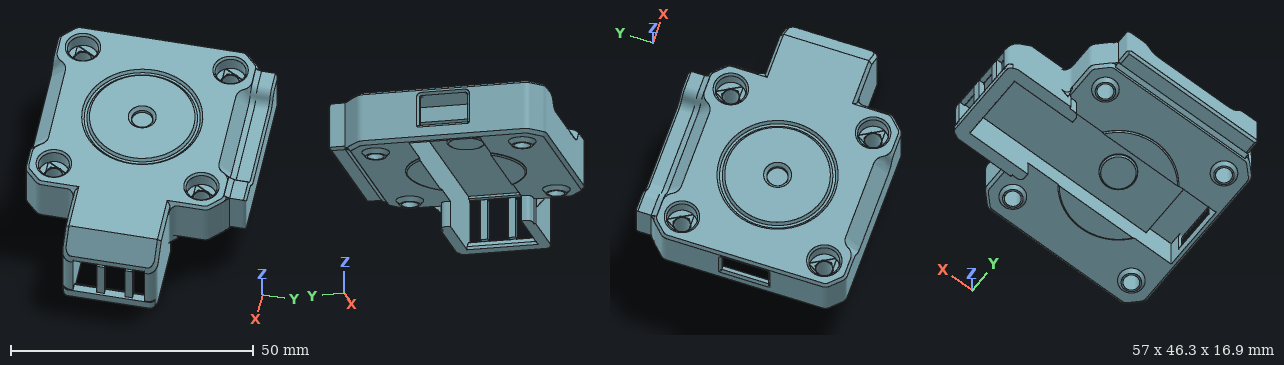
import cadquery as cq
PLATE_SIDE = 42.1
PLATE_HEIGHT = 11.4
HALF_SIDE = PLATE_SIDE / 2
CORNER_CUT = 3.25
CORNER_BLEND_RADIUS = 2.0
TOP_CHAMFER = 0.55
BOTTOM_CHAMFER_HEIGHT = 0.8
BOTTOM_CHAMFER_INSET = 0.6
WALL = 1.5
WINDOW_WALL = 1.35

SCALLOP_FLOOR_HALF = 8.9
SCALLOP_HALF = 13.3
SCALLOP_RIM_Z = PLATE_HEIGHT - TOP_CHAMFER
SCALLOP_DEPTH = 2.55
SCALLOP_SWEEP = 6.85

FLANGE_WIDTH = 34.0
FLANGE_LENGTH = 4.15
FLANGE_CHAMFER = 0.55
FLANGE_CORNER_RADIUS = 0.75
FLANGE_ROOT_LENGTH = 0.7
FLANGE_ROOT_RISE = 0.5

SCREW_PITCH = 31.0
SCREW_DIAMETER = 3.5
HEAD_DIAMETER = 6.4
HEAD_CHAMFER = 0.45
HEAD_DEPTH = 3.4
BRIDGE_STEP = 0.2
BOSS_TIP_DIAMETER = 4.2
BOSS_BASE_DIAMETER = 5.7
BOSS_HEIGHT = 0.9

REGISTER_DIAMETER = 25.0
REGISTER_HEIGHT = 0.4
REGISTER_CHAMFER = 0.3
RING_DIAMETER = 25.0
RING_WIDTH = 1.6
RING_DEPTH = 0.5
MAGNET_DIAMETER = 4.4
MAGNET_DEPTH = 1.3
MAGNET_CHAMFER = 0.7
HUB_DIAMETER = 8.0
HUB_HEIGHT = 0.75
HUB_CHAMFER = 0.35

HOOD_START_X = 20.25
HOOD_END_X = 35.8
HOOD_WIDTH = 20.05
HOOD_BOTTOM_Z = -5.5
HOOD_SLOPE_X = 30.9
HOOD_CORNER_RADIUS = 2.0
HOOD_CHAMFER = 0.75
SLEEVE_START_X = 17.85
SLEEVE_WIDTH = 19.3
SLEEVE_RADIUS = 1.15
ROOT_FILLET = 1.6
ROOT_TOP_DROP = 1.2

CHANNEL_WIDTH = 15.0
CHANNEL_CEILING_Z = 6.6
END_OPENING_TOP_Z = 6.1
POCKET_END_X = -13.1
WINDOW_WIDTH = 10.2
WINDOW_BOTTOM_Z = 3.35
WINDOW_TOP_Z = 9.85
WINDOW_CHAMFER = 0.5
WINDOW_RADIUS = 0.55

LIP_OVERHANG = 0.15
LIP_HEIGHT = 2.0
LIP_SLOPE = 1.3

SUPPORT_WIDTH = 1.6
SUPPORT_GAP = 0.45
SUPPORT_CENTRES_Y = (4.2, -1.7)

INNER_X = -HALF_SIDE + WINDOW_WALL
END_WALL_X = HOOD_END_X - WALL
LIP_TOP_Z = HOOD_BOTTOM_Z + LIP_HEIGHT


def block(x0, x1, y0, y1, z0, z1):
    """Axis-aligned box between two opposite corners."""
    return cq.Workplane("XY", origin=(x0, y0, z0)).box(x1 - x0, y1 - y0, z1 - z0, centered=False)


def centred_block(x0, x1, width, z0, z1):
    """Box that is symmetric about the XZ plane."""
    return block(x0, x1, -width / 2, width / 2, z0, z1)


def disc(diameter, z0, z1):
    """Cylinder on the part axis between two heights."""
    return cq.Workplane("XY", origin=(0, 0, z0)).circle(diameter / 2).extrude(z1 - z0)


def side_prism(points, width):
    """Prism with an XZ outline, symmetric about the XZ plane."""
    return cq.Workplane("XZ").polyline(points).close().extrude(width / 2, both=True)


def at_screws(solid):
    """Copies of a solid at the four screw positions."""
    half = SCREW_PITCH / 2
    copies = cq.Workplane()
    for x in (-half, half):
        for y in (-half, half):
            copies = copies.add(solid.translate((x, y, 0)))
    return copies.combine()


def plate():
    """Square plate with cut and blended corners and chamfered rims."""
    body = centred_block(-HALF_SIDE, HALF_SIDE, PLATE_SIDE, 0, PLATE_HEIGHT)
    body = body.edges("|Z").chamfer(CORNER_CUT)
    body = body.edges("|Z").fillet(CORNER_BLEND_RADIUS)
    body = body.faces(">Z").chamfer(TOP_CHAMFER)
    return body.faces("<Z").chamfer(BOTTOM_CHAMFER_HEIGHT, BOTTOM_CHAMFER_INSET)


def swept_rim(y, side_x, closing_z, direction):
    """Area between the scalloped rim line and a level line, at depth y, swept along a direction."""
    floor_z = SCALLOP_RIM_Z - SCALLOP_DEPTH
    half_drop = SCALLOP_DEPTH / 2
    half_run = (SCALLOP_HALF - SCALLOP_FLOOR_HALF) / 2
    radius = (half_run**2 + half_drop**2) / (2 * half_drop)
    bend_x = SCALLOP_FLOOR_HALF + half_run
    bend_z = floor_z + half_drop
    outline = (
        cq.Workplane("XZ", origin=(0, y, 0))
        .moveTo(-side_x, closing_z)
        .lineTo(-side_x, SCALLOP_RIM_Z)
        .lineTo(-SCALLOP_HALF, SCALLOP_RIM_Z)
        .radiusArc((-bend_x, bend_z), radius)
        .radiusArc((-SCALLOP_FLOOR_HALF, floor_z), -radius)
        .lineTo(SCALLOP_FLOOR_HALF, floor_z)
        .radiusArc((bend_x, bend_z), -radius)
        .radiusArc((SCALLOP_HALF, SCALLOP_RIM_Z), radius)
        .lineTo(side_x, SCALLOP_RIM_Z)
        .lineTo(side_x, closing_z)
        .close()
    )
    face = cq.Face.makeFromWires(outline.wires().val())
    return cq.Workplane(cq.Solid.extrudeLinear(face, cq.Vector(*direction)))


def scallop():
    """45 degree cut on the -Y side that continues the top chamfer downward."""
    above_z = PLATE_HEIGHT + SCALLOP_DEPTH
    return swept_rim(-HALF_SIDE, FLANGE_WIDTH / 2, above_z, (0, SCALLOP_SWEEP, SCALLOP_SWEEP))


def flange():
    """Flange with a scalloped top whose root is beveled into the plate on all sides."""
    half = FLANGE_WIDTH / 2
    bottom_z = BOTTOM_CHAMFER_HEIGHT
    end_y = HALF_SIDE + FLANGE_LENGTH
    root_y = HALF_SIDE + FLANGE_ROOT_LENGTH
    root_run = FLANGE_ROOT_LENGTH + FLANGE_ROOT_RISE
    inner_y = root_y - root_run
    body = swept_rim(end_y, half, bottom_z, (0, -FLANGE_LENGTH - WALL, 0))
    body = body.faces(">Y").edges("not |Z").chamfer(FLANGE_CHAMFER)
    body = body.faces("<Z").edges("|Y").chamfer(FLANGE_CHAMFER)
    body = body.faces(">Y").edges("|Z").fillet(FLANGE_CORNER_RADIUS)
    for rise in (FLANGE_ROOT_RISE, -FLANGE_ROOT_RISE):
        body = body.union(swept_rim(root_y, half, bottom_z, (0, -root_run, rise)))
    side_points = [
        (half, root_y),
        (half + root_run, inner_y),
        (SCALLOP_HALF, inner_y),
        (SCALLOP_HALF, root_y),
    ]
    side_bevel = (
        cq.Workplane("XY", origin=(0, 0, bottom_z))
        .polyline(side_points)
        .close()
        .extrude(SCALLOP_RIM_Z - bottom_z)
    )
    return body.union(side_bevel).union(side_bevel.mirror("YZ"))


def hood():
    """Hood with a sloped, chamfered top, its rounded inner legs and the lip past its end."""
    drop = HOOD_END_X - HOOD_SLOPE_X
    outline = [
        (HOOD_START_X, HOOD_BOTTOM_Z),
        (HOOD_START_X, PLATE_HEIGHT),
        (HOOD_SLOPE_X, PLATE_HEIGHT),
        (HOOD_END_X, PLATE_HEIGHT - drop),
        (HOOD_END_X, HOOD_BOTTOM_Z),
    ]
    body = side_prism(outline, HOOD_WIDTH)
    body = body.edges("|Z and >X").fillet(HOOD_CORNER_RADIUS)
    top_sides = body.faces(">Z").edges("|X")
    slope = body.faces(cq.selectors.DirectionMinMaxSelector(cq.Vector(1, 0, 1)))
    body = top_sides.add(slope.edges("not (|Y and <X)")).chamfer(HOOD_CHAMFER)
    sleeve_end_x = HOOD_END_X + LIP_OVERHANG
    legs = centred_block(SLEEVE_START_X, HOOD_SLOPE_X, SLEEVE_WIDTH, HOOD_BOTTOM_Z, BOTTOM_CHAMFER_HEIGHT)
    legs = legs.edges("|Z and <X").fillet(SLEEVE_RADIUS)
    lip = centred_block(HOOD_SLOPE_X, sleeve_end_x, SLEEVE_WIDTH, HOOD_BOTTOM_Z, LIP_TOP_Z)
    lip = lip.edges("|Z and >X").fillet(SLEEVE_RADIUS)
    return body.union(legs).union(lip)


def hood_root():
    """Concave blend between the plate side and the -Y side of the hood, beveled at both ends."""
    tip_x = HALF_SIDE + ROOT_FILLET
    hood_y = -HOOD_WIDTH / 2
    blend = (
        cq.Workplane("XY", origin=(0, 0, -ROOT_FILLET))
        .moveTo(HALF_SIDE, hood_y + WALL)
        .lineTo(HALF_SIDE, hood_y - ROOT_FILLET)
        .radiusArc((tip_x, hood_y), ROOT_FILLET)
        .lineTo(tip_x, hood_y + WALL)
        .close()
        .extrude(PLATE_HEIGHT + ROOT_FILLET)
    )
    top_bevel = side_prism(
        [
            (HALF_SIDE, SCALLOP_RIM_Z),
            (tip_x, SCALLOP_RIM_Z - ROOT_TOP_DROP),
            (tip_x, PLATE_HEIGHT),
            (HALF_SIDE, PLATE_HEIGHT),
        ],
        PLATE_SIDE,
    )
    bevel_plane = cq.Plane(origin=(tip_x, hood_y, 0), normal=(1, -1, -1))
    bottom_bevel = cq.Workplane(bevel_plane).rect(PLATE_SIDE, PLATE_SIDE).extrude(PLATE_SIDE)
    return blend.cut(top_bevel).cut(bottom_bevel)


def register():
    """Shallow round register, later split by the channel."""
    return disc(REGISTER_DIAMETER, -REGISTER_HEIGHT, WALL).faces("<Z").chamfer(REGISTER_CHAMFER)


def screw_boss():
    """Tapered boss under a screw hole."""
    return (
        cq.Workplane("XY")
        .circle(BOSS_BASE_DIAMETER / 2)
        .workplane(offset=-BOSS_HEIGHT)
        .circle(BOSS_TIP_DIAMETER / 2)
        .loft()
    )


def countersunk(diameter, depth, chamfer):
    """Round blind hole from the top face with a 45 degree rim."""
    radius = diameter / 2
    outline = [
        (0, -depth),
        (radius, -depth),
        (radius, -chamfer),
        (radius + chamfer, 0),
        (0, 0),
    ]
    hole = cq.Workplane("XZ").polyline(outline).close().revolve(360, (0, 0, 0), (0, 1, 0))
    return hole.translate((0, 0, PLATE_HEIGHT))


def screw_hole():
    """Screw hole whose head floor steps from a triangle to a hexagon to the round hole."""
    floor_z = PLATE_HEIGHT - HEAD_DEPTH
    triangle = (
        cq.Workplane("XY", origin=(0, 0, floor_z - BRIDGE_STEP))
        .polygon(3, 2 * SCREW_DIAMETER)
        .extrude(BRIDGE_STEP)
        .rotate((0, 0, 0), (0, 0, 1), 90)
        .intersect(disc(HEAD_DIAMETER, 0, PLATE_HEIGHT))
    )
    hexagon = (
        cq.Workplane("XY", origin=(0, 0, floor_z - 2 * BRIDGE_STEP))
        .polygon(6, SCREW_DIAMETER, circumscribed=True)
        .extrude(BRIDGE_STEP)
    )
    through = disc(SCREW_DIAMETER, -BOSS_HEIGHT, floor_z)
    head = countersunk(HEAD_DIAMETER, HEAD_DEPTH, HEAD_CHAMFER)
    return head.union(triangle).union(hexagon).union(through)


def ring_groove():
    """Trapezoidal ring groove in the top face."""
    outer = RING_DIAMETER / 2
    outline = [
        (outer, PLATE_HEIGHT),
        (outer - RING_DEPTH, PLATE_HEIGHT - RING_DEPTH),
        (outer - RING_WIDTH + RING_DEPTH, PLATE_HEIGHT - RING_DEPTH),
        (outer - RING_WIDTH, PLATE_HEIGHT),
    ]
    return cq.Workplane("XZ").polyline(outline).close().revolve(360, (0, 0, 0), (0, 1, 0))


def channel():
    """Cavity open at the bottom, ending above the sloped inner face of the lip."""
    below_z = HOOD_BOTTOM_Z - WALL
    outline = [
        (INNER_X, below_z),
        (INNER_X, CHANNEL_CEILING_Z),
        (END_WALL_X, CHANNEL_CEILING_Z),
        (END_WALL_X, LIP_TOP_Z),
        (END_WALL_X - LIP_SLOPE, LIP_TOP_Z - LIP_SLOPE),
        (END_WALL_X - LIP_SLOPE, below_z),
    ]
    pocket = centred_block(INNER_X, POCKET_END_X, CHANNEL_WIDTH, 0, WINDOW_TOP_Z)
    opening = centred_block(
        END_WALL_X, HOOD_END_X + WALL, CHANNEL_WIDTH, LIP_TOP_Z, END_OPENING_TOP_Z
    )
    return side_prism(outline, CHANNEL_WIDTH).union(pocket).union(opening)


def window():
    """Window through the -X wall, round at the top corners, with a 45 degree outer rim."""
    opening = centred_block(-HALF_SIDE, INNER_X, WINDOW_WIDTH, WINDOW_BOTTOM_Z, WINDOW_TOP_Z)
    opening = opening.edges("|X and >Z").fillet(WINDOW_RADIUS)
    rim_x = -HALF_SIDE + WINDOW_CHAMFER
    rim = (
        cq.Workplane("YZ", origin=(rim_x, 0, 0))
        .add(opening.faces("<X").wires().translate((rim_x + HALF_SIDE, 0, 0)))
        .toPending()
        .extrude(-WINDOW_CHAMFER, taper=-45)
    )
    return opening.union(rim)


def hub():
    """Round boss under the cavity ceiling, below the magnet hole."""
    body = disc(HUB_DIAMETER, CHANNEL_CEILING_Z - HUB_HEIGHT, CHANNEL_CEILING_Z + WALL)
    return body.faces("<Z").chamfer(HUB_CHAMFER)


def housing():
    front_scallop = scallop()
    root = hood_root()
    body = plate().cut(front_scallop).cut(front_scallop.mirror("XZ"))
    body = body.union(flange()).union(hood()).union(root).union(root.mirror("XZ"))
    body = body.union(register()).union(at_screws(screw_boss()))
    body = body.cut(channel()).cut(window()).union(hub())
    body = body.cut(at_screws(screw_hole())).cut(ring_groove())
    return body.cut(countersunk(MAGNET_DIAMETER, MAGNET_DEPTH, MAGNET_CHAMFER))


def support(centre_y):
    """Upright bar in the end opening, clear of the wall above and the lip below."""
    bar = centred_block(
        END_WALL_X, HOOD_END_X, SUPPORT_WIDTH, LIP_TOP_Z + SUPPORT_GAP, END_OPENING_TOP_Z - SUPPORT_GAP
    )
    return bar.translate((0, centre_y, 0))


supports = [support(y).val() for y in SUPPORT_CENTRES_Y]
result = cq.Compound.makeCompound([housing().val(), *supports])